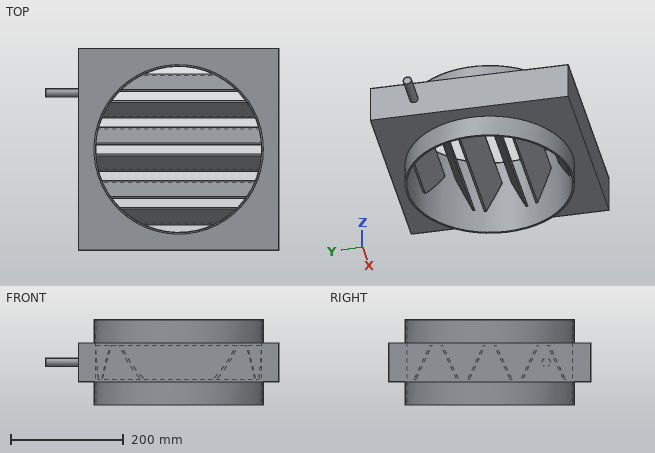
import cadquery as cq
import math

HOUSING_X = 355.0
HOUSING_Y = 358.0
HOUSING_HEIGHT = 69.0
COLLAR_LENGTH = 41.0
COLLAR_OUTER_RADIUS = 150.0
COLLAR_WALL = 3.0
BORE_RADIUS = COLLAR_OUTER_RADIUS - COLLAR_WALL
TOTAL_HEIGHT = HOUSING_HEIGHT + 2 * COLLAR_LENGTH

BLADE_COUNT = 6
BLADE_PITCH = 47.3
BLADE_HEIGHT = 60.0
BLADE_THICKNESS = 3.0
BLADE_ANGLE = math.radians(25.0)
BLADE_LEAN = BLADE_HEIGHT * math.tan(BLADE_ANGLE)
BLADE_EDGE_WIDTH = BLADE_THICKNESS / math.cos(BLADE_ANGLE)

SHAFT_DIAMETER = 15.0
SHAFT_LENGTH = 58.0
SHAFT_Y = 100.0


def make_housing():
    block = cq.Workplane("XY").box(HOUSING_X, HOUSING_Y, HOUSING_HEIGHT)
    collars = cq.Workplane("XY").circle(COLLAR_OUTER_RADIUS).extrude(TOTAL_HEIGHT / 2, both=True)
    bore = cq.Workplane("XY").circle(BORE_RADIUS).extrude(TOTAL_HEIGHT / 2, both=True)
    return block.union(collars).cut(bore)


def make_blade(y_center, direction):
    """Leaning blade along X with level edges; direction is the side its top leans to (+1 or -1)."""
    half_height = BLADE_HEIGHT / 2
    half_lean = direction * BLADE_LEAN / 2
    half_edge = BLADE_EDGE_WIDTH / 2
    profile = [
        (y_center - half_lean - half_edge, -half_height),
        (y_center - half_lean + half_edge, -half_height),
        (y_center + half_lean + half_edge, half_height),
        (y_center + half_lean - half_edge, half_height),
    ]
    slat = cq.Workplane("YZ").polyline(profile).close().extrude(COLLAR_OUTER_RADIUS, both=True)
    trim_radius = BORE_RADIUS + COLLAR_WALL / 2
    duct = cq.Workplane("XY").circle(trim_radius).extrude(HOUSING_HEIGHT / 2, both=True)
    return slat.intersect(duct)


def make_shaft():
    return (
        cq.Workplane("YZ", origin=(-HOUSING_X / 2, 0, 0))
        .center(SHAFT_Y, 0)
        .circle(SHAFT_DIAMETER / 2)
        .extrude(-SHAFT_LENGTH)
    )


result = make_housing().union(make_shaft())
for index in range(BLADE_COUNT):
    y_center = (index - (BLADE_COUNT - 1) / 2) * BLADE_PITCH
    direction = 1 if index % 2 == 0 else -1
    result = result.union(make_blade(y_center, direction))